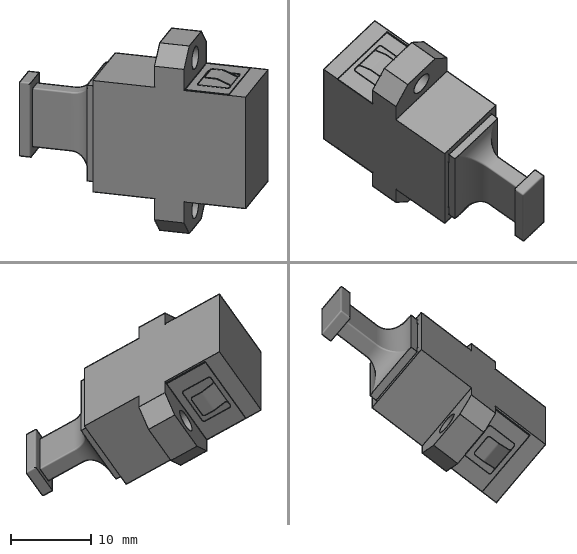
import cadquery as cq
import math

housing_width = 9.8
housing_height = 14.95
flange_thickness = 3.85
flange_start = 8.02
flange_end = flange_start + flange_thickness
housing_length = flange_end + flange_start
flange_height = 25.15
flange_chamfer = 2.28
screw_hole_diameter = 2.9
screw_hole_spacing = 20.0

plug_length = 10.47
head_length = 1.5
head_width = 4.0
head_height = 10.0
stem_length = 5.0
stem_width = 2.1
stem_height = 7.9
flare_radius = 3.0
edge_round = 0.2
collar_width = 8.18
collar_height = 12.86
stem_start = head_length - plug_length
flare_start = stem_start + stem_length
collar_start = flare_start + flare_radius

socket_depth = flange_start
relief_gap = 0.08
relief_height = 9.65

clip_thickness = 0.1
clip_length = 5.75
clip_clearance = 0.1
recess_lip = 0.26

window_length = 4.14
window_to_rear = 2.9
window_width = 5.05
window_end = housing_length - window_to_rear
window_start = window_end - window_length
slot_round = 0.3
tongue_width = 3.03
tongue_gap = 0.64
tongue_rise = 0.7
tongue_slope_length = 1.85
tongue_bend_x = window_end - tongue_slope_length
tongue_bend_radius = 0.6
tongue_start = window_start + tongue_gap


def block(x_start, x_end, width, height):
    """Box between two X stations, centred on Y and Z."""
    return (
        cq.Workplane("XY", origin=(x_start, 0, 0))
        .box(x_end - x_start, width, height, centered=(False, True, True))
    )


def both_sides(body):
    """The upper body and its mirror image below the XY plane."""
    return [body, body.mirror("XY")]


def top_sheet(width):
    """Clip-thick sheet flush with the housing top and with its +Y side."""
    corner = (flange_end, housing_width / 2 - width, housing_height / 2 - clip_thickness)
    return cq.Workplane("XY", origin=corner).box(clip_length, width, clip_thickness, centered=False)


def make_recess():
    """Shallow pocket in the housing top, open towards +Y."""
    return top_sheet(housing_width - recess_lip)


def make_housing():
    flange = block(flange_start, flange_end, housing_width, flange_height).edges("|X").chamfer(flange_chamfer)
    body = block(0, housing_length, housing_width, housing_height).union(flange)

    screw_holes = (
        cq.Workplane("YZ", origin=(flange_start, 0, 0))
        .pushPoints([(0, -screw_hole_spacing / 2), (0, screw_hole_spacing / 2)])
        .circle(screw_hole_diameter / 2)
        .extrude(flange_thickness)
    )
    socket = block(0, socket_depth, collar_width, collar_height)
    relief = block(0, socket_depth, collar_width + 2 * relief_gap, relief_height)
    body = body.cut(screw_holes).cut(socket).cut(relief)

    for recess in both_sides(make_recess()):
        body = body.cut(recess)
    return body


def flare_profile(plane, stem_size, collar_size):
    """Stem and concave quarter-round flare, symmetric about the X axis."""
    stem_half = stem_size / 2
    flare_half = stem_half + flare_radius
    arc_reach = flare_radius * math.sin(math.pi / 4)
    arc_drop = flare_radius - arc_reach
    outline = (
        cq.Workplane(plane)
        .moveTo(stem_start, -stem_half)
        .lineTo(flare_start, -stem_half)
        .threePointArc((flare_start + arc_reach, -stem_half - arc_drop), (collar_start, -flare_half))
        .lineTo(collar_start, flare_half)
        .threePointArc((flare_start + arc_reach, stem_half + arc_drop), (flare_start, stem_half))
        .lineTo(stem_start, stem_half)
        .close()
    )
    return outline.extrude(collar_size, both=True)


def make_plug():
    stem = flare_profile("XY", stem_width, collar_height).intersect(
        flare_profile("XZ", stem_height, collar_width)
    )
    corner_edges = cq.selectors.BoxSelector(
        (stem_start, -collar_width, -collar_height),
        (collar_start - edge_round, collar_width, collar_height),
    )
    stem = stem.edges(corner_edges).edges("not(#X)").fillet(edge_round)
    stem = stem.intersect(block(stem_start, collar_start, collar_width, collar_height))
    head = block(-plug_length, stem_start, head_width, head_height)
    head = head.edges("|X or |Z or <X").fillet(edge_round)
    collar = block(collar_start, socket_depth, collar_width, collar_height)
    return head.union(stem).union(collar)


def make_window():
    """Rounded opening that clears the slot and the tongue from the plate."""
    return block(window_start, window_end, window_width, flange_height).edges("|Z").fillet(slot_round)


def make_slot():
    """U-shaped slot around the tongue, with every corner rounded."""
    window = block(window_start, window_end, window_width, flange_height)
    tongue_area = block(tongue_start, window_end, tongue_width, flange_height)
    return window.cut(tongue_area).edges("|Z").fillet(slot_round)


def make_tongue():
    """Strip that slopes up from the window end and levels off at its free tip."""
    plate_top = housing_height / 2
    tip_top = plate_top + tongue_rise
    slope = math.atan2(tongue_rise, window_end - tongue_bend_x)
    inner_shift = clip_thickness * math.tan(slope / 2)
    root_width = tongue_width + 2 * slot_round
    strip = (
        cq.Workplane("XZ", origin=(0, root_width / 2, 0))
        .moveTo(tongue_start, tip_top)
        .lineTo(tongue_bend_x, tip_top)
        .lineTo(window_end, plate_top)
        .lineTo(window_end, plate_top - clip_thickness)
        .lineTo(window_end - inner_shift, plate_top - clip_thickness)
        .lineTo(tongue_bend_x - inner_shift, tip_top - clip_thickness)
        .lineTo(tongue_start, tip_top - clip_thickness)
        .close()
        .extrude(root_width)
    )
    bends = [
        ((tongue_bend_x, 0, tip_top), tongue_bend_radius),
        ((tongue_bend_x - inner_shift, 0, tip_top - clip_thickness), tongue_bend_radius - clip_thickness),
    ]
    for bend_point, bend_radius in bends:
        bend_edge = cq.selectors.NearestToPointSelector(bend_point)
        strip = strip.edges("|Y").edges(bend_edge).fillet(bend_radius)
    return strip.cut(make_slot())


def make_clip():
    plate = top_sheet(housing_width - recess_lip - clip_clearance)
    return plate.cut(make_window()).union(make_tongue())


housing = make_housing()
plug = make_plug()
clips = both_sides(make_clip())
result = cq.Compound.makeCompound([housing.val(), plug.val(), *[clip.val() for clip in clips]])